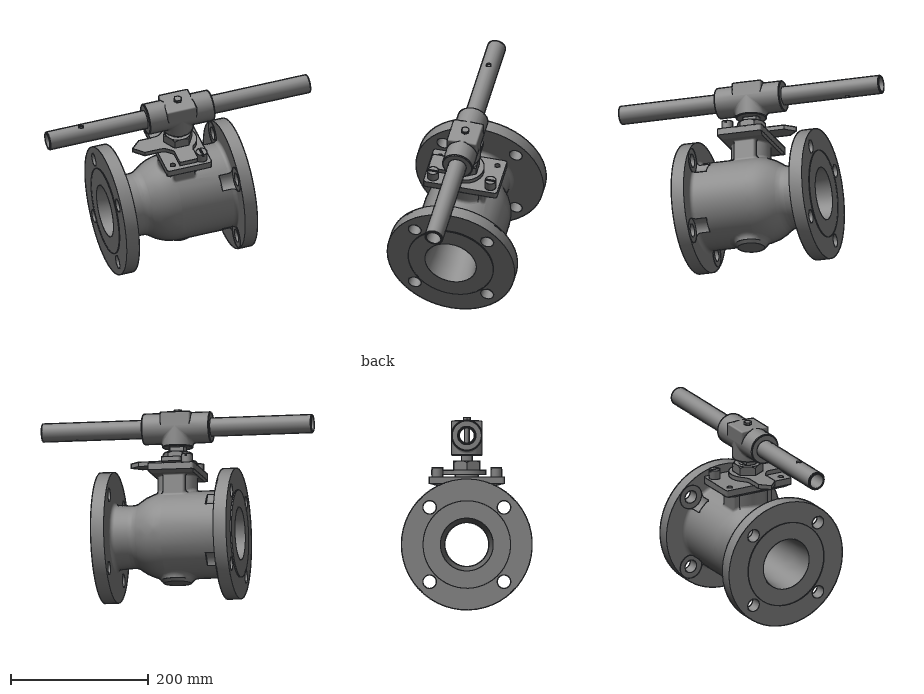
import cadquery as cq
import math


flange_r = 95.0
face_r = 63.5
bolt_hole_d = 19.0
bolt_offset = 54.0
spotface_d = 36.0
rear_face_y = 92.5
rear_flange_y = 90.5
rear_flange_back_y = 71.0
front_flange_back_y = -91.0
front_flange_y = -110.5
front_face_y = -111.5
spotface_end_y = 51.0
spotface_depth = 0.6

barrel_r = 63.5
barrel_fillet = 5.5
dome_start_y = -13.0
dome_end_y = -52.5
neck_y = -65.5
neck_r = 45.5
neck_foot_y = -85.0
neck_foot_r = 47.0
neck_foot_flare = 5.0
port_r = 38.5
throat_d = 63.5

pad_x = 109.5
pad_y = 68.0
pad_top_z = 98.5
pad_edge_z = 89.0
pad_root_z = 85.5
pad_root_x = 84.0
pad_root_y = 62.5
pad_fillet = 2.0
pad_corner_r = 3.5
neck_cyl_d = 57.5
neck_fillet = 5.0
rib_x = 64.0
rib_y = 33.0
rib_corner_r = 3.5
collar_d = 34.0
collar_h = 3.0
boss_r = 24.0
boss_z = -70.5
boss_chamfer = 4.5
boss_fillet = 10.0

seam_z = 48.0
seam_reach = 36.0
seam_margin = 0.5

stem_d = 26.0
stem_flats = 16.0
stem_bottom_z = 64.0
stem_top_z = 141.0

stop_t = 6.5
stop_disc_r = 27.5
stop_half_width = 14.0
stop_arm_reach = 51.5
stop_tip_y = -69.0
arm_blend_r = 8.0
tongue_blend_r = 16.0
arm_corner_r = 3.5

nut_flats = 38.0
nut_top_z = 121.5
nut_chamfer = 2.5

screw_x = 43.0
screw_y = 22.0
screw_head_d = 16.0
screw_head_h = 13.0
screw_shank_d = 7.5
slot_w = 2.0
slot_depth = 3.0

hub_r = 22.5
hub_length = 100.0
hub_axis_z = 158.5
hub_bottom_z = 129.5
hub_edge = 1.0
block_drop = 0.1
block_ridge_half = 1.0
block_fall = 1.0
block_edge_r = 2.5
hub_fillet = 4.0
pipe_d = 27.0
pipe_bore_d = 21.5
pipe_length = 400.0
pipe_edge = 1.0
pipe_hole_d = 7.0
pipe_hole_y = -148.5

bolt_d = 7.0
bolt_head_d = 11.5
bolt_top_z = 185.0
bolt_bottom_z = 136.0

collar_top_z = pad_top_z + collar_h
stop_top_z = collar_top_z + stop_t
block_top_z = hub_axis_z + hub_r - block_drop


def cylinder_z(diameter, z_low, z_high):
    return cq.Workplane("XY").workplane(offset=z_low).circle(diameter / 2).extrude(z_high - z_low)


def cylinder_y(diameter, y_low, y_high, axis_z=0):
    plane = cq.Workplane("XZ").workplane(offset=-y_low).center(0, axis_z)
    return plane.circle(diameter / 2).extrude(y_low - y_high)


def box_z(size_x, size_y, z_low, z_high):
    return cq.Workplane("XY").workplane(offset=z_low).rect(size_x, size_y).extrude(z_high - z_low)


def seam_box(z_low, z_high):
    """Selects the edges around the stem axis whose centers lie between two heights."""
    reach = seam_reach
    return cq.selectors.BoxSelector((-reach, -reach, z_low), (reach, reach, z_high))


def make_barrel():
    """Both flanges, barrel, dome and neck as one turned shape around Y."""
    dome_mid = math.asin((dome_start_y - dome_end_y) / barrel_r) / 2
    dome_end_r = math.sqrt(barrel_r ** 2 - (dome_start_y - dome_end_y) ** 2)
    outline = (
        cq.Workplane("XY")
        .moveTo(0, rear_face_y)
        .lineTo(face_r, rear_face_y)
        .lineTo(face_r, rear_flange_y)
        .lineTo(flange_r, rear_flange_y)
        .lineTo(flange_r, rear_flange_back_y)
        .lineTo(barrel_r + barrel_fillet, rear_flange_back_y)
        .radiusArc((barrel_r, rear_flange_back_y - barrel_fillet), -barrel_fillet)
        .lineTo(barrel_r, dome_start_y)
        .threePointArc(
            (barrel_r * math.cos(dome_mid), dome_start_y - barrel_r * math.sin(dome_mid)),
            (dome_end_r, dome_end_y),
        )
        .tangentArcPoint((neck_r, neck_y), relative=False)
        .lineTo(neck_foot_r, neck_foot_y)
        .tangentArcPoint((neck_foot_r + neck_foot_flare, front_flange_back_y), relative=False)
        .lineTo(flange_r, front_flange_back_y)
        .lineTo(flange_r, front_flange_y)
        .lineTo(face_r, front_flange_y)
        .lineTo(face_r, front_face_y)
        .lineTo(0, front_face_y)
        .close()
    )
    return outline.revolve(360, (0, 0), (0, 1))


def make_bore():
    """Bore that tapers from both ports to the throat at the stem axis."""
    outline = (
        cq.Workplane("XY")
        .moveTo(0, rear_face_y)
        .lineTo(port_r, rear_face_y)
        .lineTo(throat_d / 2, 0)
        .lineTo(port_r, front_face_y)
        .lineTo(0, front_face_y)
        .close()
    )
    return outline.revolve(360, (0, 0), (0, 1))


def make_pad():
    """Square-edged pad with a tapered underside, and the stop plate collar."""
    slab = box_z(pad_x, pad_y, pad_edge_z, pad_top_z)
    underside = (
        cq.Workplane("XY")
        .workplane(offset=pad_root_z)
        .rect(pad_root_x, pad_root_y)
        .workplane(offset=pad_edge_z - pad_root_z)
        .rect(pad_x, pad_y)
        .loft(ruled=True)
    )
    slab = slab.edges("|Z").fillet(pad_corner_r)
    rounded = box_z(pad_x, pad_y, pad_root_z, pad_edge_z).edges("|Z").fillet(pad_corner_r)
    collar = cylinder_z(collar_d, pad_top_z, collar_top_z)
    return slab.union(underside.intersect(rounded)).union(collar)


def flange_hole_centers():
    return [(sx * bolt_offset, sz * bolt_offset) for sx in (-1, 1) for sz in (-1, 1)]


def screw_hole_centers():
    return [(sx * screw_x, sy * screw_y) for sx in (-1, 1) for sy in (-1, 1)]


def make_neck():
    """Round neck with a flat-faced rib across it that carries the pad."""
    rib = box_z(rib_x, rib_y, 0, pad_root_z).edges("|Z").fillet(rib_corner_r)
    return cylinder_z(neck_cyl_d, 0, pad_root_z).union(rib)


def make_boss():
    return cylinder_z(2 * boss_r, boss_z, 0).faces("<Z").chamfer(boss_chamfer)


def make_flange_cuts():
    """Bolt holes through both flanges, and rear spotfaces that run on into the barrel."""
    holes = (
        cq.Workplane("XZ")
        .workplane(offset=-rear_face_y)
        .pushPoints(flange_hole_centers())
        .circle(bolt_hole_d / 2)
        .extrude(rear_face_y - front_face_y)
    )
    rear_space = cylinder_y(2 * flange_r, rear_flange_back_y, rear_face_y)
    front_space = cylinder_y(2 * flange_r, front_face_y, front_flange_back_y)
    spotface_start_y = rear_flange_back_y + spotface_depth
    spotfaces = (
        cq.Workplane("XZ")
        .workplane(offset=-spotface_start_y)
        .pushPoints(flange_hole_centers())
        .circle(spotface_d / 2)
        .extrude(spotface_start_y - spotface_end_y)
    )
    return holes.intersect(rear_space.union(front_space)).union(spotfaces)


def make_screw_holes():
    plane = cq.Workplane("XY").workplane(offset=pad_edge_z).pushPoints(screw_hole_centers())
    return plane.circle(screw_shank_d / 2).extrude(pad_top_z - pad_edge_z)


def make_body():
    body = make_barrel().union(make_neck()).union(make_boss())
    body = body.edges(seam_box(seam_z, barrel_r + neck_fillet)).fillet(neck_fillet)
    body = body.edges(seam_box(-barrel_r, -seam_z)).fillet(boss_fillet)
    body = body.union(make_pad())
    pad_seam = seam_box(pad_root_z - seam_margin, pad_root_z + seam_margin)
    body = body.edges(pad_seam).edges("%CIRCLE").fillet(pad_fillet)
    stem_hole = cylinder_z(stem_d, stem_bottom_z, collar_top_z)
    return body.cut(make_bore()).cut(make_flange_cuts()).cut(make_screw_holes()).cut(stem_hole)


def make_stem():
    stem = cylinder_z(stem_d, stem_bottom_z, stem_top_z)
    flats_space = box_z(2 * stem_d, 2 * stem_d, nut_top_z, stem_top_z)
    tongue = box_z(stem_flats, 2 * stem_d, nut_top_z, stem_top_z)
    stem = stem.cut(flats_space.cut(tongue))
    return stem.cut(cylinder_z(bolt_d, bolt_bottom_z, stem_top_z))


def fillet_uprights(plate, corners, radius):
    """Rounds the vertical edges of a plate that stand at the given corners."""
    uprights = []
    for x, y in corners:
        near = cq.selectors.NearestToPointSelector((x, y, collar_top_z + stop_t / 2))
        uprights += plate.edges("|Z").edges(near).vals()
    return plate.newObject(uprights).fillet(radius)


def make_stop_plate():
    """Disc with one square arm towards +X and one pointed tongue towards -Y."""
    w = stop_half_width
    base = cq.Workplane("XY").workplane(offset=collar_top_z)
    disc = base.circle(stop_disc_r).extrude(stop_t)
    arm = base.center(stop_arm_reach / 2, 0).rect(stop_arm_reach, 2 * w).extrude(stop_t)
    tongue = (
        base.moveTo(-w, 0)
        .lineTo(-w, stop_tip_y + w)
        .lineTo(0, stop_tip_y)
        .lineTo(w, stop_tip_y + w)
        .lineTo(w, 0)
        .close()
        .extrude(stop_t)
    )
    joint = math.sqrt(stop_disc_r ** 2 - w ** 2)
    plate = disc.union(arm).union(tongue)
    arm_corners = [(joint, -w), (joint, w)]
    tongue_corners = [(-w, -joint), (w, -joint)]
    plate = fillet_uprights(plate, arm_corners, arm_blend_r)
    plate = fillet_uprights(plate, tongue_corners, tongue_blend_r)
    plate = plate.edges("|Z").edges(">X").edges(">Y").fillet(arm_corner_r)
    return plate.cut(cylinder_z(stem_d, collar_top_z, stop_top_z))


def make_nut():
    across_corners = nut_flats / math.cos(math.pi / 6)
    nut_h = nut_top_z - stop_top_z
    base = cq.Workplane("XY").workplane(offset=stop_top_z)
    hexagon = base.transformed(rotate=(0, 0, 90)).polygon(6, across_corners).extrude(nut_h)
    rounded = base.circle(across_corners / 2).extrude(nut_h).faces(">Z").chamfer(nut_chamfer)
    return hexagon.intersect(rounded).cut(cylinder_z(stem_d, stop_top_z, nut_top_z))


def make_screw(x, y):
    head_top_z = pad_top_z + screw_head_h
    head = cylinder_z(screw_head_d, pad_top_z, head_top_z)
    slot = box_z(screw_head_d, slot_w, head_top_z - slot_depth, head_top_z)
    shank = cylinder_z(screw_shank_d, pad_edge_z, pad_top_z)
    return head.cut(slot).union(shank).translate((x, y, 0))


def make_hub():
    """Tee hub: a sleeve for the pipe, a socket for the stem and a square block around the bolt."""
    half = hub_length / 2
    sleeve = cylinder_y(2 * hub_r, -half, half, hub_axis_z)
    sleeve = sleeve.faces("<Y or >Y").chamfer(hub_edge)
    socket = cylinder_z(2 * hub_r, hub_bottom_z, hub_axis_z).faces("<Z").chamfer(hub_edge)
    hub = sleeve.union(socket)
    joint = cq.selectors.BoxSelector(
        (-seam_reach, -hub_r + seam_margin, hub_axis_z - hub_r),
        (seam_reach, hub_r - seam_margin, hub_axis_z),
    )
    hub = hub.edges(joint).edges("%ELLIPSE").fillet(hub_fillet)
    hub = hub.union(make_hub_block())
    hub = hub.cut(cylinder_y(pipe_d, -half, half, hub_axis_z))
    return hub.cut(make_stem()).cut(cylinder_z(bolt_d, bolt_bottom_z, bolt_top_z))


def make_hub_block():
    """Square block with a roof that falls slightly from a narrow strip to both sides."""
    profile = (
        cq.Workplane("XZ")
        .workplane(offset=-hub_r)
        .moveTo(-hub_r, hub_axis_z)
        .lineTo(-hub_r, block_top_z - block_fall)
        .lineTo(-block_ridge_half, block_top_z)
        .lineTo(block_ridge_half, block_top_z)
        .lineTo(hub_r, block_top_z - block_fall)
        .lineTo(hub_r, hub_axis_z)
        .close()
    )
    block = profile.extrude(2 * hub_r)
    sides = block.edges("|Z").vals()
    roof_low_z = block_top_z - 2 * block_fall
    strip_x = block_ridge_half + seam_margin
    roof_edges = [edge for edge in block.edges("not |Z").vals() if edge.Center().z > roof_low_z]
    rims = [edge for edge in roof_edges if abs(edge.Center().x) > strip_x]
    return block.newObject(sides + rims).fillet(block_edge_r)


def make_pipe():
    half = pipe_length / 2
    pipe = cylinder_y(pipe_d, -half, half, hub_axis_z).faces("<Y or >Y").chamfer(pipe_edge)
    pipe = pipe.cut(cylinder_y(pipe_bore_d, -half, half, hub_axis_z))
    cross_hole = cylinder_z(pipe_hole_d, hub_axis_z - pipe_d, hub_axis_z + pipe_d)
    bolt_hole = cylinder_z(bolt_d, hub_axis_z - pipe_d, hub_axis_z + pipe_d)
    return pipe.cut(cross_hole.translate((0, pipe_hole_y, 0))).cut(bolt_hole)


def make_bolt():
    seat_z = hub_axis_z + hub_r
    head = (
        cq.Workplane("XY")
        .workplane(offset=seat_z)
        .transformed(rotate=(0, 0, 90))
        .polygon(6, bolt_head_d)
        .extrude(bolt_top_z - seat_z)
    )
    return head.union(cylinder_z(bolt_d, bolt_bottom_z, seat_z))


body = make_body()
stem = make_stem()
stop_plate = make_stop_plate()
nut = make_nut()
screws = [make_screw(side * screw_x, screw_y) for side in (-1, 1)]
hub = make_hub()
pipe = make_pipe()
bolt = make_bolt()

result = cq.Compound.makeCompound([
    body.val(),
    stem.val(),
    stop_plate.val(),
    nut.val(),
    *[screw.val() for screw in screws],
    hub.val(),
    pipe.val(),
    bolt.val(),
])